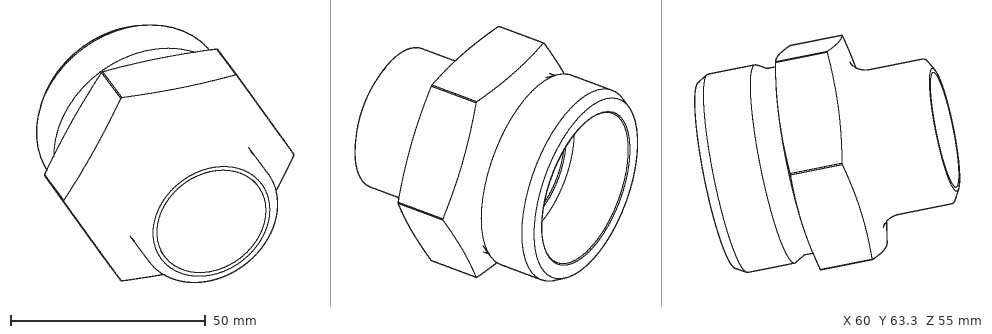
import cadquery as cq
import math

LENGTH = 60.0
LEAD_CHAMFER = 2.7
THREAD_END = 15.1
NECK_FILLET_END = 20.75
HEX_START = 22.1
HEX_END = 38.0

THREAD_DIAMETER = 52.0
NECK_DIAMETER = 48.9
SPIGOT_DIAMETER = 38.0

HEX_SIDES = 6
ACROSS_FLATS = 55.0
ACROSS_CORNERS = 63.3
FACE_DIAMETER = 53.8
CORNER_BEVEL = 1.1

GROOVE_ANGLE = 30
GROOVE_BLEND = 1.0
SPIGOT_FILLET = 5.95
SPIGOT_BEVEL_LENGTH = 1.65
SPIGOT_BEVEL_DEPTH = 2.9
SPIGOT_BEVEL_BLEND = 0.75

BORE_DIAMETER = 30.0
SOCKET_DIAMETER = 38.35
SOCKET_DEPTH = 16.0
CONE_DIAMETER = 40.9
CONE_HALF_ANGLE = 12
MOUTH_CHAMFER = 0.3
BORE_CHAMFER = 0.3


def revolve_about_x(profile):
    """Turn a closed (axial, radial) profile about the X axis."""
    return profile.close().revolve(360, (0, 0, 0), (1, 0, 0))


def fillet_circle(body, x, radius, size):
    """Round the circular edge of the given radius centred on the axis at x."""
    tolerance = 0.005
    half_width = radius + tolerance
    edge = cq.selectors.BoxSelector(
        (x - tolerance, -half_width, -half_width),
        (x + tolerance, half_width, half_width),
        boundingbox=True,
    )
    return body.edges(edge).fillet(size)


def turned_body():
    """Threaded end, relief groove and spigot, without the hexagon."""
    thread_radius = THREAD_DIAMETER / 2
    neck_radius = NECK_DIAMETER / 2
    spigot_radius = SPIGOT_DIAMETER / 2
    neck_fillet = HEX_START - NECK_FILLET_END
    groove_run = (thread_radius - neck_radius) / math.tan(math.radians(GROOVE_ANGLE))
    neck_start = THREAD_END + groove_run
    bevel_start = LENGTH - SPIGOT_BEVEL_LENGTH
    diagonal = math.sqrt(0.5)

    neck_arc_middle = (
        NECK_FILLET_END + neck_fillet * diagonal,
        neck_radius + neck_fillet * (1 - diagonal),
    )
    spigot_arc_middle = (
        HEX_END + SPIGOT_FILLET * (1 - diagonal),
        spigot_radius + SPIGOT_FILLET * (1 - diagonal),
    )
    profile = (
        cq.Workplane("XY")
        .lineTo(0, neck_radius)
        .lineTo(LEAD_CHAMFER, thread_radius)
        .lineTo(THREAD_END, thread_radius)
        .lineTo(neck_start, neck_radius)
        .lineTo(NECK_FILLET_END, neck_radius)
        .threePointArc(neck_arc_middle, (HEX_START, neck_radius + neck_fillet))
        .lineTo(HEX_END, spigot_radius + SPIGOT_FILLET)
        .threePointArc(spigot_arc_middle, (HEX_END + SPIGOT_FILLET, spigot_radius))
        .lineTo(bevel_start, spigot_radius)
        .lineTo(LENGTH, spigot_radius - SPIGOT_BEVEL_DEPTH)
        .lineTo(LENGTH, 0)
    )
    body = revolve_about_x(profile)
    body = fillet_circle(body, neck_start, neck_radius, GROOVE_BLEND)
    return fillet_circle(body, bevel_start, spigot_radius, SPIGOT_BEVEL_BLEND)


def hexagon():
    """Hexagon with corners along Y, trimmed by a bevelled turned blank."""
    corner_diameter = ACROSS_FLATS / math.cos(math.pi / HEX_SIDES)
    prism = (
        cq.Workplane("YZ", origin=(HEX_START, 0, 0))
        .polygon(HEX_SIDES, corner_diameter)
        .extrude(HEX_END - HEX_START)
    )
    blank = revolve_about_x(
        cq.Workplane("XY")
        .moveTo(HEX_START, 0)
        .lineTo(HEX_START, FACE_DIAMETER / 2)
        .lineTo(HEX_START + CORNER_BEVEL, ACROSS_CORNERS / 2)
        .lineTo(HEX_END - CORNER_BEVEL, ACROSS_CORNERS / 2)
        .lineTo(HEX_END, FACE_DIAMETER / 2)
        .lineTo(HEX_END, 0)
    )
    return prism.intersect(blank)


def bore():
    """Conical mouth, cylindrical socket and through bore."""
    cone_radius = CONE_DIAMETER / 2
    socket_radius = SOCKET_DIAMETER / 2
    bore_radius = BORE_DIAMETER / 2
    cone_length = (cone_radius - socket_radius) / math.tan(math.radians(CONE_HALF_ANGLE))
    return revolve_about_x(
        cq.Workplane("XY")
        .lineTo(0, cone_radius + MOUTH_CHAMFER)
        .lineTo(MOUTH_CHAMFER, cone_radius)
        .lineTo(MOUTH_CHAMFER + cone_length, socket_radius)
        .lineTo(SOCKET_DEPTH, socket_radius)
        .lineTo(SOCKET_DEPTH, bore_radius + BORE_CHAMFER)
        .lineTo(SOCKET_DEPTH + BORE_CHAMFER, bore_radius)
        .lineTo(LENGTH, bore_radius)
        .lineTo(LENGTH, 0)
    )


result = turned_body().union(hexagon()).cut(bore())